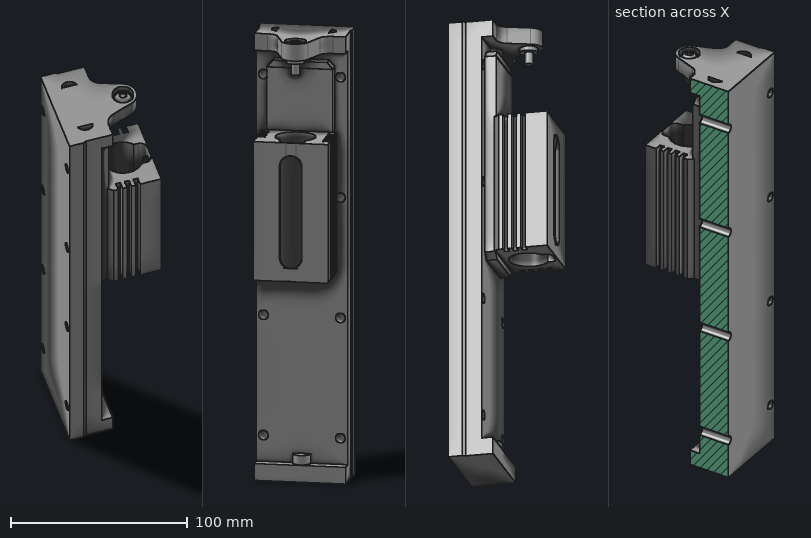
import cadquery as cq
import math

LENGTH = 260.0
RAIL_WIDTH = 54.0
RAIL_TOP_WIDTH = 52.5
RAIL_HEIGHT = 19.5
SIDE_STEP_START = 8.3
SIDE_STEP_END = 10.1
CAP_HEIGHT = 26.0
CAP_THICKNESS = 10.0

MOUNT_HOLE_DIAMETER = 5.5
MOUNT_HOLE_X = 22.0
MOUNT_HOLE_PITCH = 70.0
MOUNT_HOLES_PER_ROW = 4

SCREW_AXIS_Y = 40.3
LOBE_RADIUS = 8.0
LOBE_BLEND_RADIUS = 7.0
LOBE_BLEND_X = 18.7

HEAD_BORE_DIAMETER = 12.0
HEAD_BORE_DEPTH = 4.0
HEAD_DIAMETER = 10.5
SOCKET_DIAMETER = 4.2
SOCKET_DEPTH = 1.3
HEAD_HEIGHT = 3.6
COLLAR_DIAMETER = 10.5
COLLAR_HEIGHT = 2.5
PIN_DIAMETER = 5.0
PIN_LENGTH = 7.0

POCKET_DIAMETER = 9.4
POCKET_CHORD_X = 15.0
POCKET_TIP_X = 18.5
POCKET_Y = 13.3
POCKET_DEPTH = CAP_THICKNESS

BUMPER_DIAMETER = 10.5
BUMPER_TOP_Y = 25.0
BUMPER_LENGTH = 5.5

SHOE_BOTTOM_Z = 123.8
SHOE_TOP_Z = 240.8
SHOE_HALF_WIDTH = 19.0
WIPER_HALF_WIDTH = 15.5
WIPER_LENGTH = LENGTH - CAP_THICKNESS - BUMPER_LENGTH - SHOE_TOP_Z
WIPER_TOP_Y = 25.7

BLOCK_TOP_Y = 56.5
BLOCK_HALF_WIDTH = 21.5
BLOCK_TOP_Z = 204.4
BLOCK_CHAMFER_START_Y = 25.0
BLOCK_CHAMFER_END_Y = 28.0

SLOT_WIDTH = 2.5
SLOT_DEPTH = 4.5
SLOT_PITCH = 5.2
FIRST_SLOT_Y = 47.5
LEFT_SLOT_COUNT = 4
RIGHT_SLOT_COUNT = 3

BORE_DIAMETER = 23.0
CHANNEL_HALF_WIDTH = 7.3
CHANNEL_TOP_Y = 56.0
CHANNEL_CORNER_RADIUS = 4.5
RIM_STEP = 0.8
WINDOW_DIAMETER = 12.7
WINDOW_TOP_Z = 196.8
WINDOW_BOTTOM_Z = SHOE_BOTTOM_Z + BLOCK_TOP_Z - WINDOW_TOP_Z


def box(x_min, x_max, y_min, y_max, z_min, z_max):
    """Box given by its limits along X, Y and Z."""
    size = (x_max - x_min, y_max - y_min, z_max - z_min)
    return cq.Workplane("XY").box(*size, centered=False).translate((x_min, y_min, z_min))


def rod(diameter, x, y, z_min, z_max):
    """Upright cylinder."""
    return cq.Workplane("XY", origin=(x, y, z_min)).circle(diameter / 2).extrude(z_max - z_min)


def rail_body():
    """Rail profile over the whole length, with a square cap at each end."""
    half, top_half = RAIL_WIDTH / 2, RAIL_TOP_WIDTH / 2

    def profile(height):
        return [
            (-half, 0), (half, 0), (half, SIDE_STEP_START), (top_half, SIDE_STEP_END), (top_half, height),
            (-top_half, height), (-top_half, SIDE_STEP_END), (-half, SIDE_STEP_START),
        ]

    body = cq.Workplane("XY").polyline(profile(RAIL_HEIGHT)).close().extrude(LENGTH)
    cap = cq.Workplane("XY").polyline(profile(CAP_HEIGHT)).close().extrude(CAP_THICKNESS)
    return body.union(cap).union(cap.translate((0, 0, LENGTH - CAP_THICKNESS)))


def lobe():
    """Bell-shaped lobe: round tip, straight flanks and hollow blends onto the cap."""
    blend_y = CAP_HEIGHT + LOBE_BLEND_RADIUS
    rise = SCREW_AXIS_Y - blend_y
    centre_distance = math.hypot(LOBE_BLEND_X, rise)
    angle = math.acos((LOBE_RADIUS + LOBE_BLEND_RADIUS) / centre_distance) - math.atan2(rise, LOBE_BLEND_X)

    def on_tip(turn):
        return LOBE_RADIUS * math.cos(turn), SCREW_AXIS_Y + LOBE_RADIUS * math.sin(turn)

    def on_blend(turn):
        return LOBE_BLEND_X - LOBE_BLEND_RADIUS * math.cos(turn), blend_y - LOBE_BLEND_RADIUS * math.sin(turn)

    def mirrored(point):
        return -point[0], point[1]

    middle_angle = (angle + math.pi / 2) / 2
    foot, mid_blend, flank_low = (LOBE_BLEND_X, CAP_HEIGHT), on_blend(middle_angle), on_blend(angle)
    flank_high = on_tip(angle)
    outline = (
        cq.Workplane("XY", origin=(0, 0, LENGTH - CAP_THICKNESS))
        .moveTo(LOBE_BLEND_X, RAIL_HEIGHT)
        .lineTo(*foot)
        .threePointArc(mid_blend, flank_low)
        .lineTo(*flank_high)
        .threePointArc(on_tip(math.pi / 2), mirrored(flank_high))
        .lineTo(*mirrored(flank_low))
        .threePointArc(mirrored(mid_blend), mirrored(foot))
        .lineTo(-LOBE_BLEND_X, RAIL_HEIGHT)
        .close()
    )
    return outline.extrude(CAP_THICKNESS)


def screw_head():
    """Domed head with a blind round socket, turned about the screw axis."""
    base_radius, socket_radius = HEAD_DIAMETER / 2, SOCKET_DIAMETER / 2
    centre = (socket_radius**2 + HEAD_HEIGHT**2 - base_radius**2) / (2 * HEAD_HEIGHT)
    dome_radius = math.hypot(base_radius, centre)
    middle = (math.atan2(-centre, base_radius) + math.atan2(HEAD_HEIGHT - centre, socket_radius)) / 2
    mid_point = (dome_radius * math.cos(middle), centre + dome_radius * math.sin(middle))
    head = (
        cq.Workplane("XZ")
        .moveTo(0, 0)
        .lineTo(base_radius, 0)
        .threePointArc(mid_point, (socket_radius, HEAD_HEIGHT))
        .lineTo(socket_radius, HEAD_HEIGHT - SOCKET_DEPTH)
        .lineTo(0, HEAD_HEIGHT - SOCKET_DEPTH)
        .close()
        .revolve(360, (0, 0, 0), (0, 1, 0))
    )
    return head.translate((0, SCREW_AXIS_Y, LENGTH - HEAD_BORE_DEPTH))


def screw_shank():
    """Collar under the lobe and the pin that hangs from it."""
    lobe_z = LENGTH - CAP_THICKNESS
    collar_z = lobe_z - COLLAR_HEIGHT
    collar = rod(COLLAR_DIAMETER, 0, SCREW_AXIS_Y, collar_z, lobe_z)
    return collar.union(rod(PIN_DIAMETER, 0, SCREW_AXIS_Y, collar_z - PIN_LENGTH, collar_z))


def cap_pocket(side):
    """Segment pocket: the part of a circle that lies outside its chord."""
    bottom = LENGTH - POCKET_DEPTH
    circle_x = POCKET_TIP_X - POCKET_DIAMETER / 2
    circle = rod(POCKET_DIAMETER, circle_x, POCKET_Y, bottom, LENGTH)
    keep = box(
        POCKET_CHORD_X, POCKET_TIP_X, POCKET_Y - POCKET_DIAMETER / 2, POCKET_Y + POCKET_DIAMETER / 2,
        bottom, LENGTH,
    )
    pocket = circle.intersect(keep)
    return pocket if side > 0 else pocket.mirror("YZ")


def mounting_holes():
    """Two rows of holes through the rail along Y."""
    row_length = MOUNT_HOLE_PITCH * (MOUNT_HOLES_PER_ROW - 1)
    first_z = (LENGTH - row_length) / 2
    points = [
        (side * MOUNT_HOLE_X, first_z + i * MOUNT_HOLE_PITCH)
        for side in (-1, 1)
        for i in range(MOUNT_HOLES_PER_ROW)
    ]
    return cq.Workplane("XZ").pushPoints(points).circle(MOUNT_HOLE_DIAMETER / 2).extrude(-RAIL_HEIGHT)


def make_rail():
    """Rail with its caps, screw and bumpers as one body."""
    rail = rail_body().union(lobe())
    rail = rail.cut(rod(HEAD_BORE_DIAMETER, 0, SCREW_AXIS_Y, LENGTH - HEAD_BORE_DEPTH, LENGTH))
    rail = rail.union(screw_head()).union(screw_shank())
    bumper_y = BUMPER_TOP_Y - BUMPER_DIAMETER / 2
    for bumper_z in (CAP_THICKNESS, LENGTH - CAP_THICKNESS - BUMPER_LENGTH):
        rail = rail.union(rod(BUMPER_DIAMETER, 0, bumper_y, bumper_z, bumper_z + BUMPER_LENGTH))
    for side in (-1, 1):
        rail = rail.cut(cap_pocket(side))
    return rail.cut(mounting_holes())


def shoe():
    """Flat shoe lying on the rail, with a tapered wiper at each end."""
    body = box(-SHOE_HALF_WIDTH, SHOE_HALF_WIDTH, RAIL_HEIGHT, CAP_HEIGHT, SHOE_BOTTOM_Z, SHOE_TOP_Z)
    for end_z, direction in ((SHOE_BOTTOM_Z, -1), (SHOE_TOP_Z, 1)):
        tip_z = end_z + direction * WIPER_LENGTH
        wiper = (
            cq.Workplane("XZ", origin=(0, RAIL_HEIGHT, 0))
            .polyline([
                (-SHOE_HALF_WIDTH, end_z), (SHOE_HALF_WIDTH, end_z),
                (WIPER_HALF_WIDTH, tip_z), (-WIPER_HALF_WIDTH, tip_z),
            ])
            .close()
            .extrude(RAIL_HEIGHT - WIPER_TOP_Y)
        )
        body = body.union(wiper)
    return body


def block():
    """Block above the shoe, narrowed to the shoe width at its lower edges."""
    outline = [
        (-SHOE_HALF_WIDTH, BLOCK_CHAMFER_START_Y), (SHOE_HALF_WIDTH, BLOCK_CHAMFER_START_Y),
        (BLOCK_HALF_WIDTH, BLOCK_CHAMFER_END_Y), (BLOCK_HALF_WIDTH, BLOCK_TOP_Y),
        (-BLOCK_HALF_WIDTH, BLOCK_TOP_Y), (-BLOCK_HALF_WIDTH, BLOCK_CHAMFER_END_Y),
    ]
    profile = cq.Workplane("XY", origin=(0, 0, SHOE_BOTTOM_Z)).polyline(outline).close()
    return profile.extrude(BLOCK_TOP_Z - SHOE_BOTTOM_Z)


def cooling_slots():
    """Slots in both sides; the right side has no uppermost slot."""
    floor_x = BLOCK_HALF_WIDTH - SLOT_DEPTH
    slots = cq.Workplane("XY")
    for side, count in ((-1, LEFT_SLOT_COUNT), (1, RIGHT_SLOT_COUNT)):
        x_min, x_max = sorted((side * floor_x, side * BLOCK_HALF_WIDTH))
        for i in range(LEFT_SLOT_COUNT - count, LEFT_SLOT_COUNT):
            y = FIRST_SLOT_Y - i * SLOT_PITCH
            y_min, y_max = y - SLOT_WIDTH / 2, y + SLOT_WIDTH / 2
            slots = slots.add(box(x_min, x_max, y_min, y_max, SHOE_BOTTOM_Z, BLOCK_TOP_Z))
    return slots.combine()


def channel(inset, z_min, z_max):
    """Round-cornered channel above the screw axis, its walls moved inward by the inset."""
    half_width = CHANNEL_HALF_WIDTH - inset
    cut = box(-half_width, half_width, SCREW_AXIS_Y, CHANNEL_TOP_Y - inset, z_min, z_max)
    return cut.edges("|Z and >Y").fillet(CHANNEL_CORNER_RADIUS - inset)


def block_opening():
    """Round bore on the screw axis and the channel above it, narrowed by a rim at the lower end."""
    bore = rod(BORE_DIAMETER, 0, SCREW_AXIS_Y, SHOE_BOTTOM_Z, BLOCK_TOP_Z)
    rim_channel = channel(RIM_STEP, SHOE_BOTTOM_Z, WINDOW_BOTTOM_Z)
    return bore.union(rim_channel).union(channel(0, WINDOW_BOTTOM_Z, BLOCK_TOP_Z))


def block_window():
    """Round-ended slot through the thin wall above the channel."""
    middle_z = (WINDOW_TOP_Z + WINDOW_BOTTOM_Z) / 2
    slot = cq.Workplane("XZ", origin=(0, SCREW_AXIS_Y, middle_z))
    slot = slot.slot2D(WINDOW_TOP_Z - WINDOW_BOTTOM_Z, WINDOW_DIAMETER, 90)
    return slot.extrude(SCREW_AXIS_Y - BLOCK_TOP_Y)


def make_carriage():
    """Shoe and finned block as one body."""
    carriage = shoe().union(block())
    return carriage.cut(cooling_slots()).cut(block_opening()).cut(block_window())


rail = make_rail()
carriage = make_carriage()
result = cq.Compound.makeCompound([rail.val(), carriage.val()])